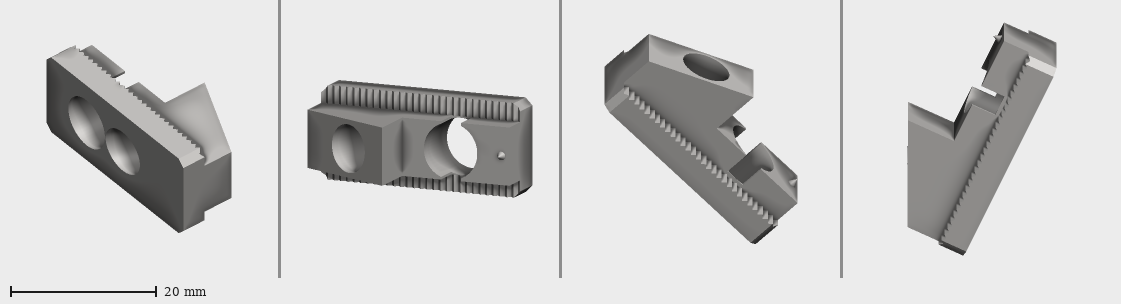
import cadquery as cq
import math

LENGTH = 30.0
HEIGHT = 13.3
DEPTH = 15.0

FLANGE_DEPTH = 4.3
CORNER_CHAMFER = 1.02
TOOTH_COUNT = 30
TOOTH_LINE_TILT = 1.0

STEM_HEIGHT = 8.2
STEM_DEPTH = 8.0
WEDGE_START = 16.02
WEDGE_ANGLE = 25.0

SLOT_START = 7.23
SLOT_WIDTH = 3.0
SLOT_FLOOR = 4.5

STRAIGHT_HOLE_X = 8.8
STRAIGHT_HOLE_DIAMETER = 8.0
ANGLED_HOLE_X = 16.7
ANGLED_HOLE_DIAMETER = 6.8

SPIKE_X = 1.2
SPIKE_RADIUS = 0.6
SPIKE_LENGTH = 1.08


def make_flange():
    """Chamfered plate whose back face is a row of 90 degree teeth on a slightly tilted line."""
    pitch = LENGTH / TOOTH_COUNT
    tooth_depth = pitch / 2
    drop_per_length = math.tan(math.radians(TOOTH_LINE_TILT))

    outline = [(0, 0), (0, FLANGE_DEPTH)]
    for tooth in range(TOOTH_COUNT):
        valley_x = (tooth + 0.5) * pitch
        crest_x = (tooth + 1) * pitch
        outline.append((valley_x, FLANGE_DEPTH - tooth_depth - valley_x * drop_per_length))
        outline.append((crest_x, FLANGE_DEPTH - crest_x * drop_per_length))
    outline.append((LENGTH, 0))

    toothed = cq.Workplane("XY").polyline(outline).close().extrude(HEIGHT / 2, both=True)
    blank = (
        cq.Workplane("XY")
        .box(LENGTH, DEPTH, HEIGHT, centered=(False, False, True))
        .edges("|Y")
        .chamfer(CORNER_CHAMFER)
    )
    return toothed.intersect(blank)


def make_stem():
    """Slotted stem and wedge, drawn as one outline in plan."""
    wedge_drop = (LENGTH - WEDGE_START) * math.tan(math.radians(WEDGE_ANGLE))
    slot_end = SLOT_START + SLOT_WIDTH
    outline = [
        (0, 0),
        (0, STEM_DEPTH),
        (SLOT_START, STEM_DEPTH),
        (SLOT_START, SLOT_FLOOR),
        (slot_end, SLOT_FLOOR),
        (slot_end, STEM_DEPTH),
        (WEDGE_START, STEM_DEPTH),
        (WEDGE_START, DEPTH),
        (LENGTH, DEPTH - wedge_drop),
        (LENGTH, 0),
    ]
    return cq.Workplane("XY").polyline(outline).close().extrude(STEM_HEIGHT / 2, both=True)


def make_spike():
    """Cone standing on the back face of the stem and pointing toward +Y."""
    return cq.Workplane(
        cq.Solid.makeCone(
            SPIKE_RADIUS, 0, SPIKE_LENGTH, cq.Vector(SPIKE_X, STEM_DEPTH, 0), cq.Vector(0, 1, 0)
        )
    )


def make_through_hole(entry_x, diameter, lean):
    """Cutter through the part whose axis leans toward +X by the given angle in degrees."""
    axis = cq.Vector(math.sin(math.radians(lean)), math.cos(math.radians(lean)), 0)
    overrun = DEPTH
    cutter_length = DEPTH + 2 * overrun
    start = cq.Vector(entry_x, 0, 0) - axis * overrun
    return cq.Workplane(cq.Solid.makeCylinder(diameter / 2, cutter_length, start, axis))


body = make_flange().union(make_stem()).union(make_spike())
straight_hole = make_through_hole(STRAIGHT_HOLE_X, STRAIGHT_HOLE_DIAMETER, 0)
angled_hole = make_through_hole(ANGLED_HOLE_X, ANGLED_HOLE_DIAMETER, WEDGE_ANGLE)

result = body.cut(straight_hole).cut(angled_hole)